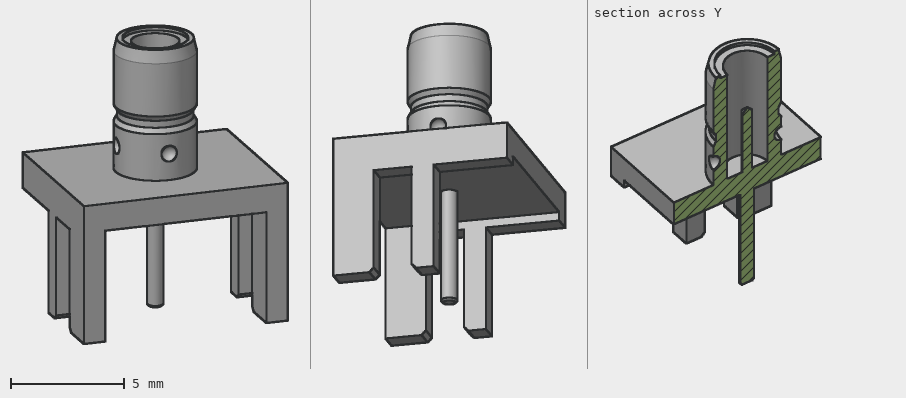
import cadquery as cq

plate_length_x = 7.92
plate_width_y = 9.52
total_height = 12.4
plate_top = 6.39
rim_bottom = 4.74
web_thickness = 1.25
web_bottom = plate_top - web_thickness
rim_width = 1.0

narrow_leg_start = -0.62
narrow_leg_width = 1.0
wide_leg_width = 1.85
leg_chamfer = 0.2

barrel_radius = 1.84
mouth_radius = 1.7
mouth_taper_height = 0.6
groove_radius = 1.69
groove_center_z = 8.95
groove_width = 0.82
groove_floor_width = 0.32

recess_radius = 1.45
recess_depth = 0.15
bore_radius = 1.07

dimple_radius = 0.36
dimple_z = 7.6
dimple_count = 4

contact_radius = 0.26
contact_tip_z = 9.92
contact_cone_height = 0.26
tail_radius = 0.37
tail_chamfer = 0.1


def make_plate():
    """Plate with a channel along X that leaves a thicker rim on both long edges."""
    plate = cq.Workplane("XY").workplane(offset=rim_bottom).rect(plate_length_x, plate_width_y)
    plate = plate.extrude(plate_top - rim_bottom)
    channel = cq.Workplane("XY").workplane(offset=rim_bottom)
    channel = channel.rect(plate_length_x, plate_width_y - 2 * rim_width).extrude(web_bottom - rim_bottom)
    return plate.cut(channel)


def make_leg(x_start, width, y_center, chamfered_side):
    """Leg under a rim, with one lower edge chamfered on the given X side."""
    leg = cq.Workplane("XY").center(x_start + width / 2, y_center).rect(width, rim_width)
    leg = leg.extrude(web_bottom)
    return leg.faces("<Z").edges(chamfered_side).chamfer(leg_chamfer)


def make_barrel():
    """Turned barrel with a tapered mouth, a V-sided groove and a stepped socket."""
    outline = [
        (barrel_radius, plate_top),
        (barrel_radius, groove_center_z - groove_width / 2),
        (groove_radius, groove_center_z - groove_floor_width / 2),
        (groove_radius, groove_center_z + groove_floor_width / 2),
        (barrel_radius, groove_center_z + groove_width / 2),
        (barrel_radius, total_height - mouth_taper_height),
        (mouth_radius, total_height),
        (recess_radius, total_height),
        (recess_radius, total_height - recess_depth),
        (bore_radius, total_height - recess_depth),
        (bore_radius, plate_top),
    ]
    return cq.Workplane("XZ").polyline(outline).close().revolve(360, (0, 0), (0, 1))


def make_dimples():
    """Spheres centered on the barrel surface, evenly spaced around it."""
    dimples = cq.Workplane("XY").workplane(offset=dimple_z)
    dimples = dimples.polarArray(barrel_radius, 0, 360, dimple_count)
    return dimples.sphere(dimple_radius)


def make_contact():
    """Contact standing in the socket, with a conical tip."""
    outline = [
        (0, web_bottom),
        (contact_radius, web_bottom),
        (contact_radius, contact_tip_z - contact_cone_height),
        (0, contact_tip_z),
    ]
    return cq.Workplane("XZ").polyline(outline).close().revolve(360, (0, 0), (0, 1))


def make_tail():
    """Solder tail below the web, chamfered at its lower end."""
    tail = cq.Workplane("XY").circle(tail_radius).extrude(web_bottom)
    return tail.faces("<Z").chamfer(tail_chamfer)


result = make_plate().union(make_barrel()).cut(make_dimples())
result = result.union(make_contact()).union(make_tail())
wide_leg_start = plate_length_x / 2 - wide_leg_width
for side in (-1, 1):
    rim_center_y = side * (plate_width_y - rim_width) / 2
    result = result.union(make_leg(narrow_leg_start, narrow_leg_width, rim_center_y, ">X"))
    result = result.union(make_leg(wide_leg_start, wide_leg_width, rim_center_y, "<X"))